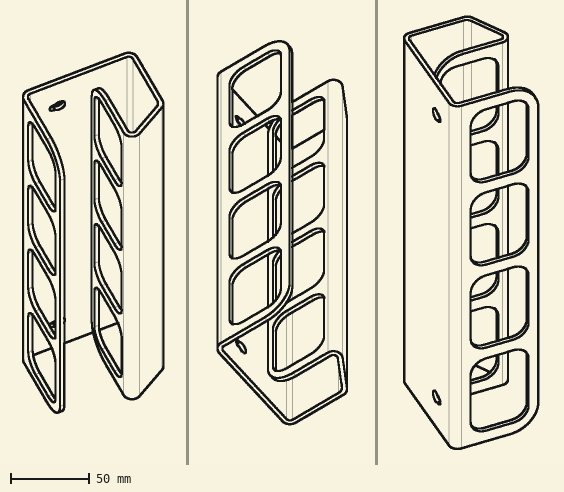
import cadquery as cq
import math

LENGTH = 285.0
WIDTH = 62.0
DEPTH = 80.0
THICKNESS = 3.0
OUTER_BEND = 6.0
SLANT_BEND = 5.0
SLANT_ANGLE = math.radians(60)

FLANGE_END_X = 60.0
LIP_END_X = 8.5
LIP_FRONT_Y = 46.7
CORNER_RADIUS = 20.0

WINDOW_COUNT = 4
WINDOW_WIDTH = 40.8
WINDOW_HEIGHT = 60.0
WINDOW_LEFT_X = 12.5
WINDOW_RADIUS = 10.8
WINDOW_GAP = (LENGTH - WINDOW_COUNT * WINDOW_HEIGHT) / (WINDOW_COUNT + 1)

KEYHOLE_Y = 26.5
KEYHOLE_DIAMETER = 8.0
KEYHOLE_NECK_Y = 22.2
KEYHOLE_NECK_WIDTH = 5.0
KEYHOLE_END_DISTANCE = 25.0


def outer_profile():
    """Outer face of the sheet from flange to lip, with sharp bends."""
    bend_x = WIDTH - OUTER_BEND
    bend_y = LIP_FRONT_Y + OUTER_BEND
    slant_x = bend_x + OUTER_BEND / math.sin(SLANT_ANGLE)
    slope = math.tan(SLANT_ANGLE)
    slant_top_x = slant_x - (DEPTH - bend_y) / slope
    slant_bottom_x = slant_x + OUTER_BEND / slope
    return [
        (FLANGE_END_X, 0),
        (0, 0),
        (0, DEPTH),
        (slant_top_x, DEPTH),
        (slant_bottom_x, LIP_FRONT_Y),
        (LIP_END_X, LIP_FRONT_Y),
    ]


def inward_normal(start, end):
    """Unit normal on the right-hand side of a profile segment."""
    dx = end[0] - start[0]
    dy = end[1] - start[1]
    size = math.hypot(dx, dy)
    return cq.Vector(dy / size, -dx / size)


def inner_profile(outer):
    """Outer profile moved inward by the sheet thickness."""
    normals = [inward_normal(a, b) for a, b in zip(outer, outer[1:])]
    before = [normals[0]] + normals
    after = normals + [normals[-1]]
    points = []
    for point, first, second in zip(outer, before, after):
        shift = (first + second) * (THICKNESS / (1 + first.dot(second)))
        points.append((point[0] + shift.x, point[1] + shift.y))
    return points


def fillet_bends(body, corners, radii):
    """Round the Z edges that stand on the given profile corners."""
    for (x, y), radius in zip(corners, radii):
        edge = cq.selectors.NearestToPointSelector((x, y, LENGTH / 2))
        body = body.edges("|Z").edges(edge).fillet(radius)
    return body


def folded_sheet():
    outer = outer_profile()
    inner = inner_profile(outer)
    body = cq.Workplane("XY").polyline(outer + inner[::-1]).close().extrude(LENGTH)
    outer_radii = [OUTER_BEND, OUTER_BEND, SLANT_BEND, OUTER_BEND]
    inner_bend = OUTER_BEND - THICKNESS
    inner_radii = [inner_bend, inner_bend, SLANT_BEND, inner_bend]
    body = fillet_bends(body, outer[1:-1], outer_radii)
    return fillet_bends(body, inner[1:-1], inner_radii)


def round_free_edge(body, x, y):
    """Round the top and bottom corners of a free edge at (x, y)."""
    for z in (0, LENGTH):
        corner = cq.selectors.NearestToPointSelector((x, y, z))
        body = body.edges("|Y").edges(corner).fillet(CORNER_RADIUS)
    return body


def windows():
    """Cutters passing through the flange and the lip, clear of the back wall."""
    cut_depth = LIP_FRONT_Y + THICKNESS
    centres = [
        (
            WINDOW_LEFT_X + WINDOW_WIDTH / 2,
            WINDOW_GAP + WINDOW_HEIGHT / 2 + i * (WINDOW_HEIGHT + WINDOW_GAP),
        )
        for i in range(WINDOW_COUNT)
    ]
    return (
        cq.Workplane("XZ")
        .pushPoints(centres)
        .rect(WINDOW_WIDTH, WINDOW_HEIGHT)
        .extrude(-cut_depth)
        .edges("|Y")
        .fillet(WINDOW_RADIUS)
    )


def keyhole(z):
    """Round hole with a narrower round-ended slot toward the flange."""
    neck_length = KEYHOLE_Y - KEYHOLE_NECK_Y
    plane = cq.Workplane("YZ")
    head = plane.center(KEYHOLE_Y, z).circle(KEYHOLE_DIAMETER / 2).extrude(THICKNESS)
    neck = (
        plane.center(KEYHOLE_NECK_Y + neck_length / 2, z)
        .slot2D(neck_length + KEYHOLE_NECK_WIDTH, KEYHOLE_NECK_WIDTH)
        .extrude(THICKNESS)
    )
    return head.union(neck)


result = folded_sheet()
result = round_free_edge(result, FLANGE_END_X, THICKNESS / 2)
result = round_free_edge(result, LIP_END_X, LIP_FRONT_Y + THICKNESS / 2)
result = result.cut(windows())
for keyhole_z in (KEYHOLE_END_DISTANCE, LENGTH - KEYHOLE_END_DISTANCE):
    result = result.cut(keyhole(keyhole_z))